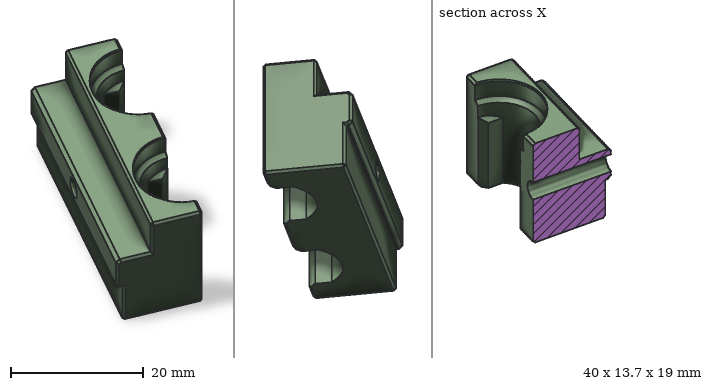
import cadquery as cq
import math

LENGTH = 40.0
HEIGHT = 19.0
DEPTH = 13.7

UPPER_DEPTH = 8.2
LOWER_DEPTH = 12.7
LIP_TOP = 12.9
LIP_BOTTOM = 7.1
LIP_CHAMFER = 0.6
EDGE_CHAMFER = 0.4

POCKET_SPACING = 20.0
SEAT_RADIUS = 7.2
BORE_RADIUS = 6.3
SEAT_DEPTH = 3.15
SLOPE_ANGLE = 30.0
RIM_WIDTH = 0.1
RIM_DEPTH = 0.3

CHEEK_GAP = 10.25
CHEEK_TOP = 13.1
CHEEK_LEAD_IN = 1.15

HOLE_DIAMETER = 3.2
HOLE_HEIGHT = 10.0

SLOPE = math.tan(math.radians(SLOPE_ANGLE))


def make_body():
    """Stepped bar with every outer edge broken."""
    profile = [
        (0, 0),
        (-LOWER_DEPTH, 0),
        (-LOWER_DEPTH, LIP_BOTTOM),
        (-DEPTH + LIP_CHAMFER, LIP_BOTTOM),
        (-DEPTH, LIP_BOTTOM + LIP_CHAMFER),
        (-DEPTH, LIP_TOP - LIP_CHAMFER),
        (-DEPTH + LIP_CHAMFER, LIP_TOP),
        (-UPPER_DEPTH, LIP_TOP),
        (-UPPER_DEPTH, HEIGHT),
        (0, HEIGHT),
    ]
    body = cq.Workplane("YZ").polyline(profile).close().extrude(LENGTH / 2, both=True)
    return body.faces("<X or >X or <Z or >Z").edges().chamfer(EDGE_CHAMFER)


def make_pocket():
    """Cutter for one pocket: rim, seat, conical shoulder and bore, less the two cheeks."""
    shoulder_bottom = HEIGHT - SEAT_DEPTH - (SEAT_RADIUS - BORE_RADIUS) * SLOPE
    section = [
        (0, 0),
        (BORE_RADIUS, 0),
        (BORE_RADIUS, shoulder_bottom),
        (SEAT_RADIUS, HEIGHT - SEAT_DEPTH),
        (SEAT_RADIUS, HEIGHT - RIM_DEPTH),
        (SEAT_RADIUS + RIM_WIDTH, HEIGHT),
        (0, HEIGHT),
    ]
    cutter = cq.Workplane("XZ").polyline(section).close().revolve(360, (0, 0), (0, 1))
    cheek = make_cheek()
    return cutter.cut(cheek).cut(cheek.mirror("YZ"))


def make_cheek():
    """Cheek on the +X side: sloped top, and a 45 degree lead-in at the back face."""
    inner = CHEEK_GAP / 2
    section = [
        (inner, 0),
        (BORE_RADIUS, 0),
        (BORE_RADIUS, CHEEK_TOP),
        (inner, CHEEK_TOP - (BORE_RADIUS - inner) * SLOPE),
    ]
    cheek = cq.Workplane("XZ").polyline(section).close().extrude(BORE_RADIUS)
    corner = [(inner, 0), (inner + CHEEK_LEAD_IN, 0), (inner, -CHEEK_LEAD_IN)]
    return cheek.cut(cq.Workplane("XY").polyline(corner).close().extrude(HEIGHT))


def make_hole():
    """Cutter for the screw hole, running the full depth."""
    return cq.Workplane("XZ").center(0, HOLE_HEIGHT).circle(HOLE_DIAMETER / 2).extrude(DEPTH)


result = make_body()
pocket = make_pocket()
for side in (-1, 1):
    result = result.cut(pocket.translate((side * POCKET_SPACING / 2, 0, 0)))
result = result.cut(make_hole())